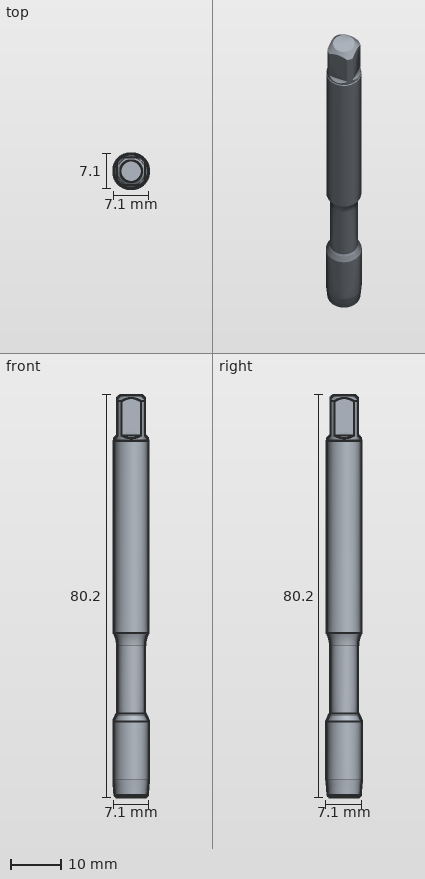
import cadquery as cq

total_length = 80.2
head_length = 16.8

head_diameter = 7.1
lead_end_diameter = 6.65
tip_diameter = 5.8
tip_chamfer_height = 0.5
lead_top = 3.5
head_shoulder = 15.15
collar_diameter = 6.1
collar_height = 16.4

neck_diameter = 5.6
shank_diameter = 7.0
flare_diameter = 6.7
flare_bottom = 30.2
flare_top = 32.7
shank_top = 71.05

drive_diameter = 6.7
drive_end_diameter = 4.3
drive_chamfer_height = (drive_diameter - drive_end_diameter) / 2
shank_chamfer_height = (shank_diameter - drive_diameter) / 2
square_width = 5.5
square_bottom = 72.2
runout_height = (drive_diameter - square_width) / 2
cutter_half_width = drive_diameter


def make_head():
    """Revolved cutting head with a tapered lead at the tip."""
    return (
        cq.Workplane("XZ")
        .moveTo(0, 0)
        .lineTo(tip_diameter / 2, 0)
        .lineTo(lead_end_diameter / 2, tip_chamfer_height)
        .lineTo(head_diameter / 2, lead_top)
        .lineTo(head_diameter / 2, head_shoulder)
        .lineTo(collar_diameter / 2, collar_height)
        .lineTo(neck_diameter / 2, head_length)
        .lineTo(0, head_length)
        .close()
        .revolve(360, (0, 0, 0), (0, 1, 0))
    )


def make_flat_cutter():
    """Cutter for one drive flat, with a sloping run-out at its lower end."""
    flat = square_width / 2
    return (
        cq.Workplane("XZ")
        .moveTo(drive_diameter / 2, total_length)
        .lineTo(flat, total_length)
        .lineTo(flat, square_bottom)
        .lineTo(drive_diameter / 2, square_bottom - runout_height)
        .close()
        .extrude(cutter_half_width, both=True)
    )


def make_shank():
    """Neck, concave flare, plain shank and square drive."""
    shank = (
        cq.Workplane("XZ")
        .moveTo(0, head_length)
        .lineTo(neck_diameter / 2, head_length)
        .lineTo(neck_diameter / 2, flare_bottom)
        .tangentArcPoint((flare_diameter / 2, flare_top), relative=False)
        .lineTo(shank_diameter / 2, flare_top)
        .lineTo(shank_diameter / 2, shank_top)
        .lineTo(drive_diameter / 2, shank_top + shank_chamfer_height)
        .lineTo(drive_diameter / 2, total_length - drive_chamfer_height)
        .lineTo(drive_end_diameter / 2, total_length)
        .lineTo(0, total_length)
        .close()
        .revolve(360, (0, 0, 0), (0, 1, 0))
    )
    cutter = make_flat_cutter()
    for side in range(4):
        shank = shank.cut(cutter.rotate((0, 0, 0), (0, 0, 1), 90 * side))
    return shank


head = make_head()
shank = make_shank()

result = cq.Compound.makeCompound([head.val(), shank.val()])